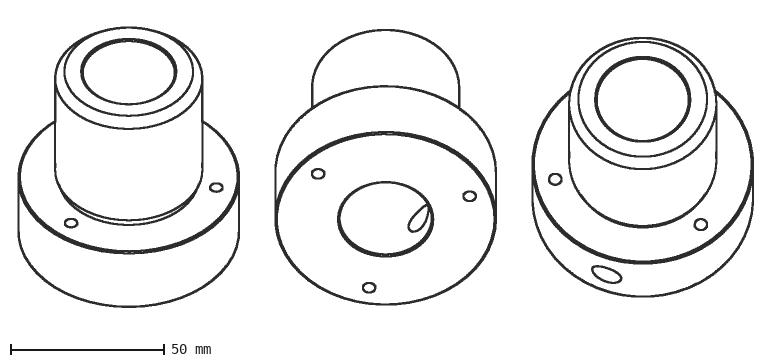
import cadquery as cq

flange_diameter = 72.0
flange_height = 25.0
edge_chamfer = 0.5

total_height = 72.0
sleeve_diameter = 48.0
sleeve_chamfer = 3.0
neck_diameter = 46.0
neck_height = 3.0

bore_diameter = 30.0

hole_count = 3
hole_diameter = 4.0
hole_circle_radius = 29.0
first_hole_angle = -90.0

port_diameter = 10.0
port_height = flange_height / 2


def cylinder(diameter, bottom, height):
    """Upright cylinder on the Z axis."""
    return cq.Workplane("XY").workplane(offset=bottom).circle(diameter / 2).extrude(height)


flange = cylinder(flange_diameter, 0, flange_height).edges().chamfer(edge_chamfer)
neck = cylinder(neck_diameter, flange_height, neck_height)

sleeve_bottom = flange_height + neck_height
sleeve = cylinder(sleeve_diameter, sleeve_bottom, total_height - sleeve_bottom)
sleeve = sleeve.faces(">Z").edges().chamfer(sleeve_chamfer)

body = flange.union(neck).union(sleeve)
body = body.cut(cylinder(bore_diameter, 0, total_height))
bore_mouths = cq.selectors.RadiusNthSelector(0)
body = body.edges(bore_mouths).chamfer(edge_chamfer)

holes = (
    cq.Workplane("XY")
    .polarArray(hole_circle_radius, first_hole_angle, 360, hole_count)
    .circle(hole_diameter / 2)
    .extrude(flange_height)
)

port = (
    cq.Workplane("XZ")
    .center(0, port_height)
    .circle(port_diameter / 2)
    .extrude(-flange_diameter / 2)
)

result = body.cut(holes).cut(port)